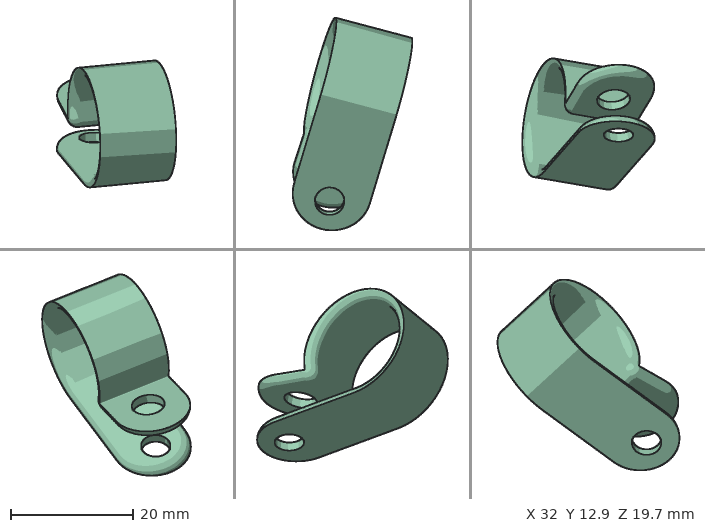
import cadquery as cq
import math

total_length = 32.0
width = 12.9
thickness = 1.6

loop_radius = 9.85
loop_overrun = 9.5

bend_radius = 0.13

end_radius = width / 2
lower_tab_straight = total_length - loop_radius - end_radius
lower_hole_diameter = 4.8
lower_hole_distance = 17.1
upper_tab_straight = 5.75
upper_tab_tilt = 11.6
upper_hole_diameter = 5.4
upper_hole_distance = 4.77


def strip_section(outer_z, inward):
    """Section in the YZ plane; inward is +1 or -1, the Z direction of the inner face."""
    half = width / 2
    inner_half = half - thickness
    inner_z = outer_z + inward * thickness
    diagonal = thickness * math.sqrt(0.5)
    arc_y = inner_half + diagonal
    arc_z = outer_z + inward * diagonal
    return (
        cq.Workplane("YZ")
        .moveTo(-half, outer_z)
        .lineTo(half, outer_z)
        .threePointArc((arc_y, arc_z), (inner_half, inner_z))
        .lineTo(-inner_half, inner_z)
        .threePointArc((-arc_y, arc_z), (-half, outer_z))
        .close()
    )


def curved_strip(outer_z, inward, angle):
    """Strip swept about the Y axis, from straight below it towards +X."""
    return strip_section(outer_z, inward).revolve(angle, (0, 0), (-1, 0))


def tab(straight, hole_distance, hole_diameter):
    """Tab running along -X from the origin, outer face on Z = 0 and inner face above."""
    body = strip_section(0, 1).extrude(-straight)
    inner_radius = end_radius - thickness
    diagonal = thickness * math.sqrt(0.5)
    rounded_end = (
        cq.Workplane("XZ")
        .lineTo(end_radius, 0)
        .threePointArc((inner_radius + diagonal, diagonal), (inner_radius, thickness))
        .lineTo(0, thickness)
        .close()
        .revolve(360, (0, 0), (0, 1))
    )
    beyond = cq.Workplane("XY").box(end_radius, width, thickness, centered=(False, True, False))
    rounded_end = rounded_end.intersect(beyond.translate((-end_radius, 0, 0)))
    hole = cq.Workplane("XY").center(-hole_distance, 0).circle(hole_diameter / 2).extrude(thickness)
    return body.union(rounded_end.translate((-straight, 0, 0))).cut(hole)


def turned(shape, angle):
    return shape.rotate((0, 0, 0), (0, 1, 0), angle)


loop = curved_strip(-loop_radius, 1, 270 + loop_overrun)

lower_tab = tab(lower_tab_straight, lower_hole_distance, lower_hole_diameter)
lower_tab = lower_tab.translate((0, 0, -loop_radius))

axis_distance = loop_radius + bend_radius
overrun = math.radians(loop_overrun)
bend_axis = (-axis_distance * math.cos(overrun), 0, -axis_distance * math.sin(overrun))

bend = curved_strip(-bend_radius, -1, 90 + upper_tab_tilt + loop_overrun)
bend = turned(bend, upper_tab_tilt).translate(bend_axis)

upper_tab = tab(upper_tab_straight, upper_hole_distance, upper_hole_diameter)
upper_tab = upper_tab.rotate((0, 0, 0), (1, 0, 0), 180).translate((0, 0, -bend_radius))
upper_tab = turned(upper_tab, upper_tab_tilt).translate(bend_axis)

result = loop.union(lower_tab).union(bend).union(upper_tab)